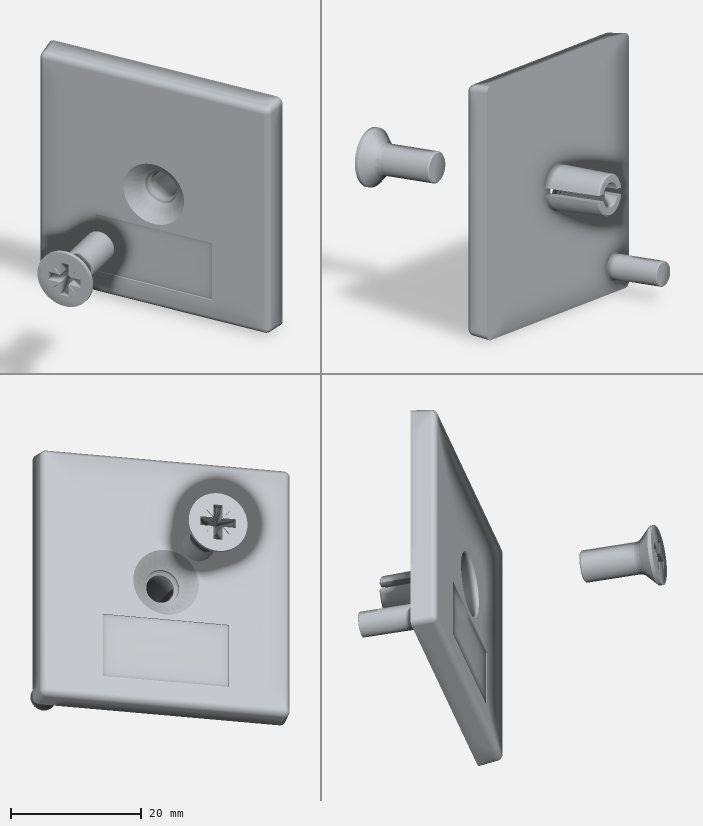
import cadquery as cq
import math

PLATE_SIZE = 40.2
PLATE_THICKNESS = 4.0
PLATE_DRAFT = 5.0
PLATE_EDGE_RADIUS = 1.0
PLATE_FRONT = -PLATE_THICKNESS

LABEL_WIDTH = 20.0
LABEL_HEIGHT = 10.0
LABEL_DEPTH = 0.2
LABEL_CENTER_Z = -11.0

HOLE_DIAMETER = 5.5
COUNTERSINK_DIAMETER = 10.4
COUNTERSINK_ANGLE = 90.0
HOLE_LENGTH = 0.4
BORE_MOUTH_DIAMETER = 4.4
BORE_TIP_DIAMETER = 4.0

SLEEVE_LENGTH = 9.5
SLEEVE_BASE_DIAMETER = 7.1
SLEEVE_TIP_DIAMETER = 6.6
SLEEVE_SLOT_WIDTH = 1.1

PIN_DIAMETER = 4.0
PIN_LENGTH = 8.9
PIN_BASE_DIAMETER = 4.08
PIN_BASE_LENGTH = 2.75
PIN_X = -16.0
PIN_Z = PIN_X

TIP_CHAMFER = 0.2
PIN_TIP_RADIUS = 0.15
ROOT_FILLET = 0.25

SCREW_GAP = 29.96
SCREW_LENGTH = 12.0
SHANK_DIAMETER = 5.0
HEAD_DIAMETER = 9.3
HEAD_RIM = 0.6
HEAD_NECK_RADIUS = 1.3
HEAD_FACE = PLATE_FRONT - SCREW_GAP

DRIVE_SPAN = 5.6
DRIVE_ARM_WIDTH = 1.4
DRIVE_WALL_DEPTH = 1.4
DRIVE_POINT_DEPTH = 2.8
TICK_REACH = 2.7
TICK_WIDTH = 0.15
TICK_POINT_LENGTH = 0.4
TICK_DEPTH = 0.3

EDGE_SEARCH_MARGIN = 0.1


def revolve_about_y(profile):
    """Turn a closed (radius, Y) profile about the Y axis."""
    return profile.close().revolve(360, (0, 0, 0), (0, 1, 0))


def circles_near(body, y, half_width):
    """Circular edges of the body that lie at the given Y, within a square about the Y axis."""
    box = cq.selectors.BoxSelector(
        (-half_width, y - EDGE_SEARCH_MARGIN, -half_width),
        (half_width, y + EDGE_SEARCH_MARGIN, half_width),
    )
    return body.edges(box).edges("%CIRCLE")


def make_blank():
    blank = (
        cq.Workplane("XZ")
        .rect(PLATE_SIZE, PLATE_SIZE)
        .extrude(PLATE_THICKNESS, taper=PLATE_DRAFT)
    )
    return blank.edges("not >Y").fillet(PLATE_EDGE_RADIUS)


def make_sleeve():
    base_radius = SLEEVE_BASE_DIAMETER / 2
    tip_radius = SLEEVE_TIP_DIAMETER / 2
    return revolve_about_y(
        cq.Workplane("XY")
        .lineTo(base_radius, 0)
        .lineTo(tip_radius, SLEEVE_LENGTH)
        .lineTo(0, SLEEVE_LENGTH)
    ).edges(">Y").chamfer(TIP_CHAMFER)


def make_sleeve_slot():
    slot_reach = SLEEVE_BASE_DIAMETER + 2 * ROOT_FILLET
    return cq.Workplane("XY").box(
        slot_reach, SLEEVE_LENGTH, SLEEVE_SLOT_WIDTH, centered=(True, False, True)
    )


def make_pin():
    base_radius = PIN_BASE_DIAMETER / 2
    radius = PIN_DIAMETER / 2
    pin = revolve_about_y(
        cq.Workplane("XY")
        .lineTo(base_radius, 0)
        .lineTo(radius, PIN_BASE_LENGTH)
        .lineTo(radius, PIN_LENGTH)
        .lineTo(0, PIN_LENGTH)
    )
    return pin.edges(">Y").fillet(PIN_TIP_RADIUS).translate((PIN_X, 0, PIN_Z))


def make_screw_hole():
    """Countersink, short straight hole, second cone and a slightly tapered bore to the sleeve tip."""
    sink_radius = COUNTERSINK_DIAMETER / 2
    hole_radius = HOLE_DIAMETER / 2
    bore_radius = BORE_MOUTH_DIAMETER / 2
    cone_slope = math.tan(math.radians(COUNTERSINK_ANGLE / 2))
    hole_start = PLATE_FRONT + (sink_radius - hole_radius) / cone_slope
    hole_end = hole_start + HOLE_LENGTH
    bore_start = hole_end + (hole_radius - bore_radius) / cone_slope
    return revolve_about_y(
        cq.Workplane("XY")
        .moveTo(0, PLATE_FRONT)
        .lineTo(sink_radius, PLATE_FRONT)
        .lineTo(hole_radius, hole_start)
        .lineTo(hole_radius, hole_end)
        .lineTo(bore_radius, bore_start)
        .lineTo(BORE_TIP_DIAMETER / 2, SLEEVE_LENGTH)
        .lineTo(0, SLEEVE_LENGTH)
    )


def make_label_recess():
    return cq.Workplane("XY").box(
        LABEL_WIDTH, LABEL_DEPTH, LABEL_HEIGHT, centered=(True, False, True)
    ).translate((0, PLATE_FRONT, LABEL_CENTER_Z))


def make_cover():
    cover = make_blank().union(make_sleeve()).union(make_pin())
    roots = circles_near(cover, 0, PLATE_SIZE / 2 - PLATE_EDGE_RADIUS)
    cover = roots.fillet(ROOT_FILLET)
    return cover.cut(make_sleeve_slot()).cut(make_screw_hole()).cut(make_label_recess())


def make_drive_arm():
    """One bar of the cross: straight end walls, then slopes narrowing it to the arm width at its floor."""
    mouth = DRIVE_SPAN / 2
    floor = DRIVE_ARM_WIDTH / 2
    floor_depth = DRIVE_WALL_DEPTH + DRIVE_POINT_DEPTH
    return (
        cq.Workplane("XY")
        .polyline([
            (-mouth, 0), (mouth, 0), (mouth, DRIVE_WALL_DEPTH),
            (floor, floor_depth), (-floor, floor_depth), (-mouth, DRIVE_WALL_DEPTH),
        ])
        .close()
        .extrude(DRIVE_ARM_WIDTH / 2, both=True)
    )


def make_tick():
    """Thin pointed bar across the centre, to be set diagonally between the arms."""
    shoulder = TICK_REACH - TICK_POINT_LENGTH
    half_width = TICK_WIDTH / 2
    return (
        cq.Workplane("XZ")
        .polyline([
            (-TICK_REACH, 0), (-shoulder, half_width), (shoulder, half_width),
            (TICK_REACH, 0), (shoulder, -half_width), (-shoulder, -half_width),
        ])
        .close()
        .extrude(-TICK_DEPTH)
    )


def make_screw():
    head_radius = HEAD_DIAMETER / 2
    shank_radius = SHANK_DIAMETER / 2
    cone_slope = math.tan(math.radians(COUNTERSINK_ANGLE / 2))
    cone_end = HEAD_RIM + (head_radius - shank_radius) / cone_slope
    screw = revolve_about_y(
        cq.Workplane("XY")
        .lineTo(head_radius, 0)
        .lineTo(head_radius, HEAD_RIM)
        .lineTo(shank_radius, cone_end)
        .lineTo(shank_radius, SCREW_LENGTH)
        .lineTo(0, SCREW_LENGTH)
    )
    screw = screw.edges(">Y").chamfer(TIP_CHAMFER)
    screw = circles_near(screw, cone_end, head_radius).fillet(HEAD_NECK_RADIUS)
    for arm_turn in (0, 90):
        tick_turn = arm_turn + 45
        screw = screw.cut(make_drive_arm().rotate((0, 0, 0), (0, 1, 0), arm_turn))
        screw = screw.cut(make_tick().rotate((0, 0, 0), (0, 1, 0), tick_turn))
    return screw.translate((0, HEAD_FACE, 0))


cover = make_cover()
screw = make_screw()
result = cq.Compound.makeCompound([cover.val(), screw.val()])